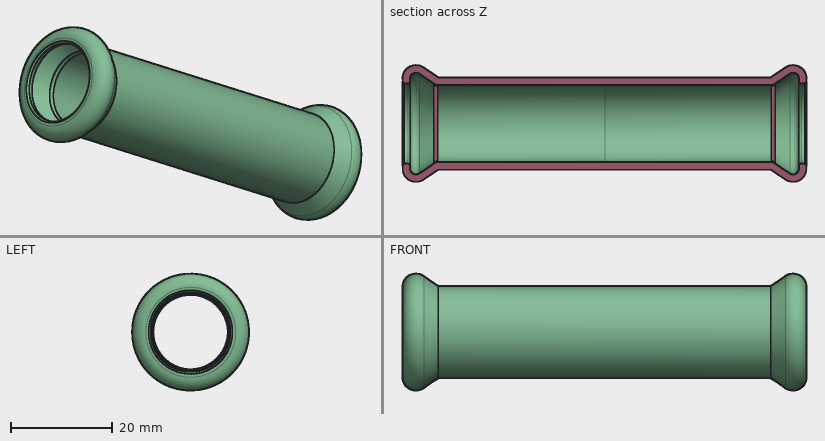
import cadquery as cq
import math

length = 80.0
tube_radius = 18.3 / 2
bore_radius = 15.2 / 2
wall = tube_radius - bore_radius

bead_radius = 23.2 / 2
bead_section_radius = 2.7
cone_end = 7.15
bead_centre_x = bead_section_radius
bead_centre_r = bead_radius - bead_section_radius

lip_radius = 15.8 / 2
lip_chamfer = 0.4
lip_back_fillet = 0.5

groove_section_radius = bead_section_radius - wall
bore_edge_radius = 1.5


def bead_cone_angle():
    """Direction from the bead centre to where the outer cone leaves the bead tangentially."""
    run = cone_end - bead_centre_x
    rise = tube_radius - bead_centre_r
    return math.atan2(rise, run) + math.acos(bead_section_radius / math.hypot(run, rise))


def around(centre, radius, angle):
    """Point on a circle of the end profile."""
    return (centre[0] + radius * math.cos(angle), centre[1] + radius * math.sin(angle))


def draw_end():
    """Half section of one end, as (distance from the end face, distance from the axis)."""
    bead_centre = (bead_centre_x, bead_centre_r)
    cone_normal = bead_cone_angle()
    bead_top = math.pi / 2
    bead_side = math.radians(120)

    lip_fillet_centre = (wall - lip_back_fillet, lip_radius + lip_back_fillet)

    edge_r = bore_radius - bore_edge_radius
    normal_reach = groove_section_radius - bore_edge_radius
    edge_x = bead_centre_x + (
        normal_reach - (edge_r - bead_centre_r) * math.sin(cone_normal)
    ) / math.cos(cone_normal)
    edge_centre = (edge_x, edge_r)
    edge_middle = (cone_normal + bead_top) / 2

    return (
        cq.Workplane("XY")
        .moveTo(length / 2, tube_radius)
        .lineTo(cone_end, tube_radius)
        .lineTo(*around(bead_centre, bead_section_radius, cone_normal))
        .threePointArc(around(bead_centre, bead_section_radius, bead_side), (0, bead_centre_r))
        .lineTo(0, lip_radius + lip_chamfer)
        .lineTo(lip_chamfer, lip_radius)
        .lineTo(lip_fillet_centre[0], lip_radius)
        .threePointArc(
            around(lip_fillet_centre, lip_back_fillet, -math.pi / 4),
            around(lip_fillet_centre, lip_back_fillet, 0),
        )
        .lineTo(wall, bead_centre_r)
        .threePointArc(
            around(bead_centre, groove_section_radius, bead_side),
            around(bead_centre, groove_section_radius, cone_normal),
        )
        .lineTo(*around(edge_centre, bore_edge_radius, cone_normal))
        .threePointArc(around(edge_centre, bore_edge_radius, edge_middle), (edge_x, bore_radius))
        .lineTo(length / 2, bore_radius)
        .close()
    )


first_half = draw_end().revolve(360, (0, 0, 0), (1, 0, 0)).translate((-length / 2, 0, 0))
result = first_half.union(first_half.mirror("YZ")).clean()